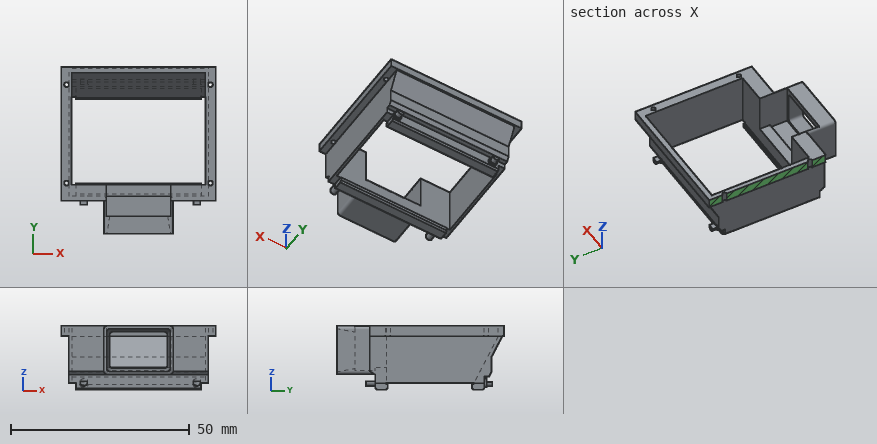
import cadquery as cq


frame_width = 43.2
total_length = 46.7
total_height = 17.95
duct_length = 9.2
frame_length = total_length - duct_length

plate_thickness = 2.9
body_width = 39.0
side_wall = 0.8
cavity_width = body_width - 2 * side_wall
body_height = 16.0
front_inner_y = 4.6
back_inner_y = 35.8
back_inner_bottom_y = 29.0

front_undercut = 1.5
undercut_top_z = -12.7
undercut_bottom_z = -13.7
back_slope_run = (back_inner_y - back_inner_bottom_y) / (body_height - plate_thickness)
back_top_y = 37.05
back_face_y = 34.05
back_face_top_z = -plate_thickness - (back_top_y - back_face_y) / back_slope_run
back_face_bottom_z = -12.8
back_ledge_z = -14.25
back_ledge_y = back_face_y - (back_face_bottom_z - back_ledge_z) * back_slope_run
back_foot_y = 32.0

rail_length = 35.0
rail_width = 3.5
rail_chamfer = 0.5
rail_ledge_z = -16.3

duct_width = 19.4
duct_height = 13.6
duct_corner = 1.0
duct_wall = 0.8
mouth_width = duct_width - 2 * duct_wall
mouth_height = duct_height - 2 * duct_wall
mouth_depth = 5.0
throat_width = 16.2
throat_height = 10.2
throat_corner = 0.9

chamber_width = 18.05
chamber_depth = 12.5
chamber_front_y = mouth_depth - duct_length
chamber_back_y = 1.3
sill_depth = 11.6

hole_diameter = 1.3
hole_x = 20.1
hole_ys = (5.0, 32.5)

pin_xs = (-15.3, 16.3)
pin_radius = 1.0
front_pin_z = -15.85
front_pin_flat = 0.4
front_pin_length = 2.6
back_pin_z = -15.95
back_pin_flat = 0.25
back_pin_length = 2.2
collar_diameter = 2.5
collar_thickness = 0.65


def box_between(width, y_start, y_end, z_start, z_end):
    """Box centred on X = 0 between two Y and two Z limits."""
    box = cq.Workplane("XY").box(width, y_end - y_start, z_end - z_start, centered=(True, False, False))
    return box.translate((0, y_start, z_start))


def side_profile(points, width):
    """Prism of a (Y, Z) outline, centred on X = 0."""
    return cq.Workplane("YZ").polyline(points).close().extrude(width / 2, both=True)


def frame_plate():
    return box_between(frame_width, 0, frame_length, -plate_thickness, 0)


def body():
    outline = [
        (0, -plate_thickness),
        (0, undercut_top_z),
        (front_undercut, undercut_bottom_z),
        (front_undercut, -body_height),
        (back_foot_y, -body_height),
        (back_foot_y, back_ledge_z),
        (back_ledge_y, back_ledge_z),
        (back_face_y, back_face_bottom_z),
        (back_face_y, back_face_top_z),
        (back_top_y, -plate_thickness),
    ]
    return side_profile(outline, body_width)


def cavity():
    """Opening through the whole body down to the rail ledges, with a sloping back side."""
    back_inner_ledge_y = back_inner_bottom_y + (rail_ledge_z + body_height) * back_slope_run
    outline = [
        (front_inner_y, 0),
        (front_inner_y, rail_ledge_z),
        (back_inner_ledge_y, rail_ledge_z),
        (back_inner_y, -plate_thickness),
        (back_inner_y, 0),
    ]
    return side_profile(outline, cavity_width)


def rail(outer_y, inward):
    """Rail with its outer face at outer_y; inward is the Y direction towards the cavity."""
    inner_y = outer_y + inward * rail_width
    bevel = inward * rail_chamfer
    outline = [
        (outer_y, -body_height),
        (outer_y, -total_height + rail_chamfer),
        (outer_y + bevel, -total_height),
        (inner_y - bevel, -total_height),
        (inner_y, -total_height + rail_chamfer),
        (inner_y, -body_height),
    ]
    return side_profile(outline, rail_length)


def duct():
    shell = box_between(duct_width, -duct_length, front_undercut, -duct_height, 0)
    return shell.edges("|Y").fillet(duct_corner)


def rounded_rectangle(width, height, corner):
    return cq.Sketch().rect(width, height).vertices().fillet(corner)


def duct_mouth():
    """Tapering inlet from the duct's front face to its throat."""
    mouth = rounded_rectangle(mouth_width, mouth_height, duct_corner)
    throat = rounded_rectangle(throat_width, throat_height, throat_corner)
    front = cq.Plane(origin=(0, -duct_length, -duct_height / 2), xDir=(1, 0, 0), normal=(0, 1, 0))
    throat_location = cq.Location(cq.Vector(0, 0, mouth_depth))
    return cq.Workplane(front).placeSketch(mouth, throat.moved(throat_location)).loft(ruled=True)


def chamber():
    pit = box_between(chamber_width, chamber_front_y, chamber_back_y, -chamber_depth, 0)
    over_sill = box_between(chamber_width, chamber_front_y, front_inner_y, -sill_depth, 0)
    return pit.union(over_sill)


def screw_holes():
    places = [(side * hole_x, y) for side in (-1, 1) for y in hole_ys]
    return cq.Workplane("XY").pushPoints(places).circle(hole_diameter / 2).extrude(-plate_thickness)


def pin(x, z, flat, y_start, y_end):
    """Pin along Y, round below and cut flat a little above its axis."""
    outline = (
        cq.Workplane("XZ", origin=(x, y_start, z))
        .moveTo(-pin_radius, flat)
        .lineTo(-pin_radius, 0)
        .threePointArc((0, -pin_radius), (pin_radius, 0))
        .lineTo(pin_radius, flat)
        .close()
    )
    return outline.extrude(y_start - y_end)


def collar(x):
    disc = cq.Workplane("XZ", origin=(x, back_foot_y, back_pin_z)).circle(collar_diameter / 2)
    return disc.extrude(-collar_thickness)


result = frame_plate().union(body()).union(duct())
result = result.union(rail(front_undercut, 1)).union(rail(back_foot_y, -1))
result = result.cut(cavity()).cut(duct_mouth()).cut(chamber()).cut(screw_holes())
for pin_x in pin_xs:
    front_pin = pin(pin_x, front_pin_z, front_pin_flat, front_undercut, front_undercut - front_pin_length)
    back_pin = pin(pin_x, back_pin_z, back_pin_flat, back_foot_y, back_foot_y + back_pin_length)
    result = result.union(front_pin).union(back_pin).union(collar(pin_x))